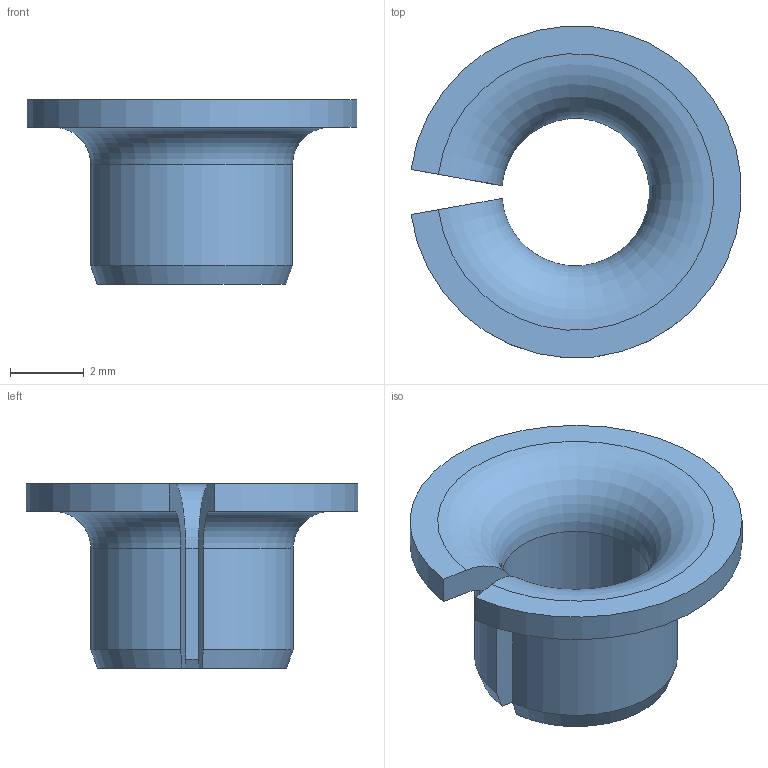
import cadquery as cq
import math

total_height = 5.0
flange_thickness = 0.75

flange_radius = 4.5
sleeve_radius = 2.75
bore_radius = 2.0

flare_radius = 1.75
neck_radius = 1.0
lead_in_height = 0.5
lead_in_angle = 20.0
bore_chamfer_height = 0.25
bore_chamfer_angle = 30.0

slit_half_angle = 10.0
slit_apex_x = -1.0
slit_overshoot = 1.0

flange_bottom = total_height - flange_thickness
lead_in_inset = lead_in_height * math.tan(math.radians(lead_in_angle))
bore_chamfer_width = bore_chamfer_height * math.tan(math.radians(bore_chamfer_angle))


def arc_middle(center_r, center_z, radius):
    """Point halfway along a quarter arc that lies inward of and above its center."""
    offset = radius * math.sqrt(0.5)
    return (center_r - offset, center_z + offset)


def make_bushing():
    """Flanged sleeve with a flared bore, revolved about Z."""
    neck_outer_r = sleeve_radius + neck_radius
    neck_start_z = flange_bottom - neck_radius
    flare_outer_r = bore_radius + flare_radius
    flare_end_z = total_height - flare_radius
    neck_middle = arc_middle(neck_outer_r, neck_start_z, neck_radius)
    flare_middle = arc_middle(flare_outer_r, flare_end_z, flare_radius)

    profile_plane = cq.Plane(origin=(0, 0, 0), xDir=(-1, 0, 0), normal=(0, 1, 0))
    profile = (
        cq.Workplane(profile_plane)
        .moveTo(bore_radius + bore_chamfer_width, 0)
        .lineTo(sleeve_radius - lead_in_inset, 0)
        .lineTo(sleeve_radius, lead_in_height)
        .lineTo(sleeve_radius, neck_start_z)
        .threePointArc(neck_middle, (neck_outer_r, flange_bottom))
        .lineTo(flange_radius, flange_bottom)
        .lineTo(flange_radius, total_height)
        .lineTo(flare_outer_r, total_height)
        .threePointArc(flare_middle, (bore_radius, flare_end_z))
        .lineTo(bore_radius, bore_chamfer_height)
        .close()
    )
    return profile.revolve(360, (0, 0, 0), (0, 1, 0))


def make_slit():
    """Full-height wedge that opens toward -X and splits the wall."""
    outer_x = -(flange_radius + slit_overshoot)
    outer_half_width = (slit_apex_x - outer_x) * math.tan(math.radians(slit_half_angle))
    return (
        cq.Workplane("XY")
        .polyline([(slit_apex_x, 0), (outer_x, outer_half_width), (outer_x, -outer_half_width)])
        .close()
        .extrude(total_height)
    )


result = make_bushing().cut(make_slit())